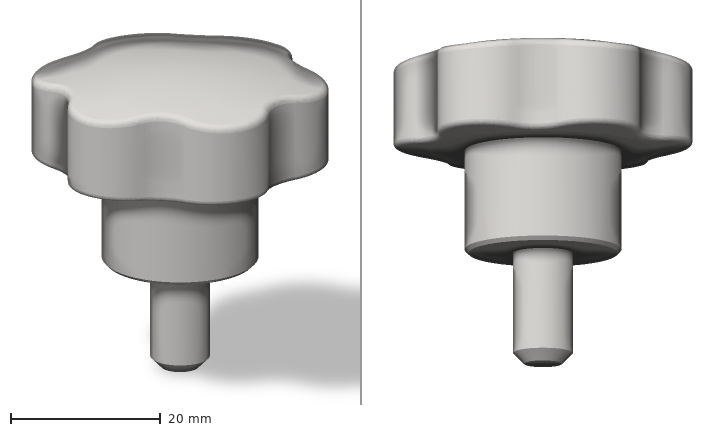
import cadquery as cq
import math

total_height = 43.0
hub_bottom = 15.0
head_bottom = 28.85

stud_radius = 8.0 / 2
stud_chamfer = 1.45
hub_radius = 21.0 / 2
hub_chamfer = 0.5

lobe_count = 6
lobe_radius = 7.0
lobe_center_distance = 13.0
valley_distance = 16.5
head_radius = lobe_center_distance + lobe_radius
dome_radius = 77.4
flat_radius = 15.05
rim_rise = 0.6
top_fillet = 1.0
bottom_fillet = 0.7

half_pitch = math.pi / lobe_count


def polar(distance, angle):
    return (distance * math.cos(angle), distance * math.sin(angle))


def lobed_outline():
    """Closed outline of convex lobes joined by tangent concave valleys."""
    along = lobe_center_distance * math.cos(half_pitch)
    across = lobe_center_distance * math.sin(half_pitch)

    lobe_gap = lobe_radius - (valley_distance - along)
    center_offset = (across**2 - lobe_gap**2) / (2 * lobe_gap)
    valley_radius = center_offset + along - valley_distance

    share = lobe_radius / (lobe_radius + valley_radius)
    tangent_along = along + share * center_offset
    tangent_across = across * (1 - share)
    tangent_distance = math.hypot(tangent_along, tangent_across)
    tangent_angle = math.atan2(tangent_across, tangent_along)

    start_angle = -half_pitch + tangent_angle
    outline = cq.Workplane("XY").moveTo(*polar(tangent_distance, start_angle))
    for index in range(lobe_count):
        lobe_angle = index * 2 * half_pitch
        valley_angle = lobe_angle + half_pitch
        outline = outline.threePointArc(
            polar(head_radius, lobe_angle),
            polar(tangent_distance, valley_angle - tangent_angle),
        )
        outline = outline.threePointArc(
            polar(valley_distance, valley_angle),
            polar(tangent_distance, valley_angle + tangent_angle),
        )
    return outline.close()


def head():
    """Lobed prism with a domed top and an underside that rises conically to the rim."""
    rise_slope = rim_rise / (head_radius - flat_radius)
    cone_height = total_height - head_bottom
    cone_radius = flat_radius + cone_height / rise_slope
    underside = (
        cq.Workplane("XZ")
        .moveTo(0, head_bottom)
        .lineTo(flat_radius, head_bottom)
        .lineTo(cone_radius, total_height)
        .lineTo(0, total_height)
        .close()
        .revolve(360, (0, 0, 0), (0, 1, 0))
    )
    dome = cq.Workplane("XY").sphere(dome_radius).translate((0, 0, total_height - dome_radius))
    body = lobed_outline().extrude(total_height).intersect(underside).intersect(dome)

    rim = body.edges("not |Z")
    middle_height = (head_bottom + total_height) / 2
    above_flat = head_bottom + 0.1 * rim_rise
    upper_rim = [edge for edge in rim.vals() if edge.Center().z > middle_height]
    lower_rim = [edge for edge in rim.vals() if above_flat < edge.Center().z < middle_height]
    rounded = body.val().fillet(top_fillet, upper_rim).fillet(bottom_fillet, lower_rim)
    return cq.Workplane("XY").newObject([rounded])


def hub():
    height = head_bottom - hub_bottom
    cylinder = cq.Workplane("XY").workplane(offset=hub_bottom).circle(hub_radius).extrude(height)
    return cylinder.faces("<Z").edges().chamfer(hub_chamfer)


def stud():
    cylinder = cq.Workplane("XY").circle(stud_radius).extrude(hub_bottom)
    return cylinder.faces("<Z").edges().chamfer(stud_chamfer)


result = head().union(hub()).union(stud())